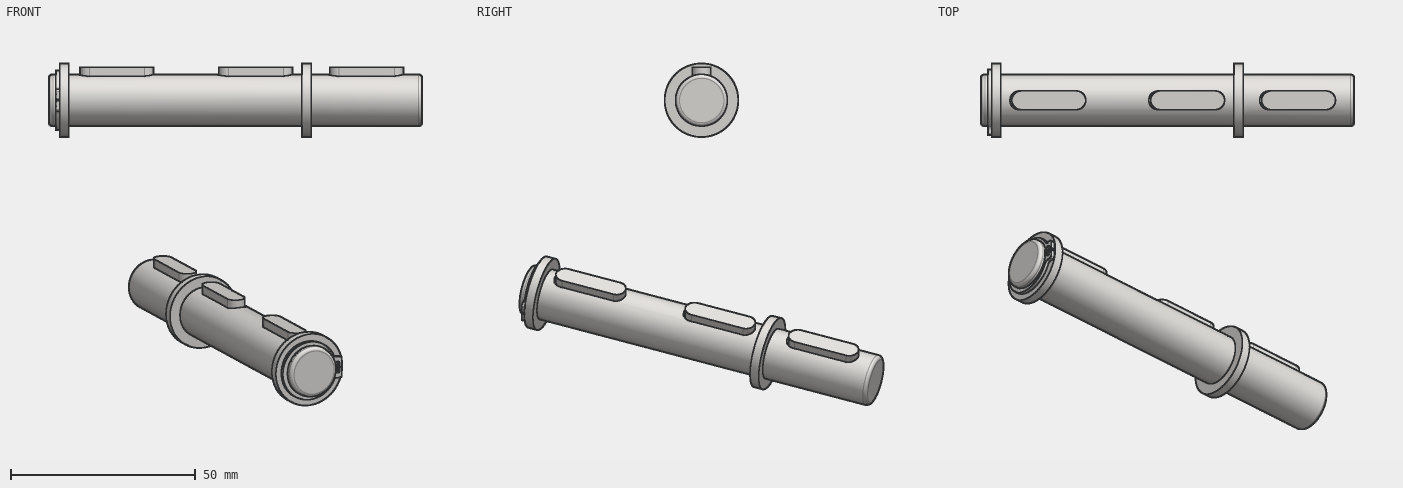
import cadquery as cq

SHAFT_LENGTH = 101.0
SHAFT_RADIUS = 7.02
END_FILLET = 1.0
COLLAR_RADIUS = 10.0
COLLAR_WIDTH = 2.5
COLLAR_START = 68.5

RING_START = 1.9
RING_THICKNESS = 1.0
GROOVE_RADIUS = 6.7
RING_OUTER_RADIUS = 8.1
RING_OFFSET = 0.3
LUG_TIP = 9.4
LUG_HALF_WIDTH = 2.9
LUG_HOLE_DIAMETER = 1.2
LUG_HOLE_REACH = 8.1
LUG_HOLE_HEIGHT = 1.0
RING_GAP = 0.4
LUG_ROOT_FILLET = 0.8
LUG_CORNER_FILLET = 0.5

WASHER_START = RING_START + RING_THICKNESS

KEY_LENGTH = 20.0
KEY_WIDTH = 5.0
KEY_TOP = 9.0
KEY_BOTTOM = 4.0
KEY_STARTS = (8.4, 46.0, 76.0)
KEYWAY_CLEARANCE = 0.5


def disc(start, width, radius):
    """Cylinder along X."""
    return cq.Workplane("YZ", origin=(start, 0, 0)).circle(radius).extrude(width)


def tube(start, width, outer_radius, inner_radius):
    """Plain ring around the X axis."""
    return disc(start, width, outer_radius).cut(disc(start, width, inner_radius))


def round_ended_bar(start, length):
    """Key-shaped bar that begins at the given X."""
    return (
        cq.Workplane("XY", origin=(start + length / 2, 0, KEY_BOTTOM))
        .slot2D(length, KEY_WIDTH)
        .extrude(KEY_TOP - KEY_BOTTOM)
    )


def make_shaft():
    """Shaft with its collar, ring groove and three keyways."""
    shaft = disc(0, SHAFT_LENGTH, SHAFT_RADIUS).faces("<X or >X").edges().fillet(END_FILLET)
    shaft = shaft.union(disc(COLLAR_START, COLLAR_WIDTH, COLLAR_RADIUS))
    shaft = shaft.cut(tube(RING_START, RING_THICKNESS, COLLAR_RADIUS, GROOVE_RADIUS))
    for start in KEY_STARTS:
        keyway = round_ended_bar(start - KEYWAY_CLEARANCE, KEY_LENGTH + KEYWAY_CLEARANCE)
        shaft = shaft.cut(keyway)
    return shaft


def make_washer():
    """Washer of the same section as the collar, fitted on the shaft."""
    return tube(WASHER_START, COLLAR_WIDTH, COLLAR_RADIUS, SHAFT_RADIUS)


def make_retaining_ring():
    """Split ring with two drilled lugs on the -Y side."""
    plane = cq.Workplane("YZ", origin=(RING_START, 0, 0))
    ring = plane.center(RING_OFFSET, 0).circle(RING_OUTER_RADIUS).extrude(RING_THICKNESS)

    lugs = (
        plane.center(-LUG_TIP / 2, 0)
        .rect(LUG_TIP, 2 * LUG_HALF_WIDTH)
        .extrude(RING_THICKNESS)
        .edges("|X and <Y")
        .fillet(LUG_CORNER_FILLET)
    )
    ring = ring.union(lugs)

    root_zone = cq.selectors.BoxSelector(
        (RING_START, -RING_OUTER_RADIUS, -RING_OUTER_RADIUS),
        (WASHER_START, -GROOVE_RADIUS, RING_OUTER_RADIUS),
    )
    ring = ring.edges("|X").edges(root_zone).fillet(LUG_ROOT_FILLET)
    ring = ring.cut(disc(RING_START, RING_THICKNESS, GROOVE_RADIUS))

    gap = (
        plane.center(-LUG_TIP / 2, 0)
        .rect(LUG_TIP, RING_GAP)
        .extrude(RING_THICKNESS)
    )
    holes = (
        plane.pushPoints([(-LUG_HOLE_REACH, side * LUG_HOLE_HEIGHT) for side in (-1, 1)])
        .circle(LUG_HOLE_DIAMETER / 2)
        .extrude(RING_THICKNESS)
    )
    return ring.cut(gap).cut(holes)


shaft = make_shaft()
washer = make_washer()
retaining_ring = make_retaining_ring()
keys = [round_ended_bar(start, KEY_LENGTH) for start in KEY_STARTS]

result = cq.Compound.makeCompound(
    [shaft.val(), washer.val(), retaining_ring.val(), *[key.val() for key in keys]]
)